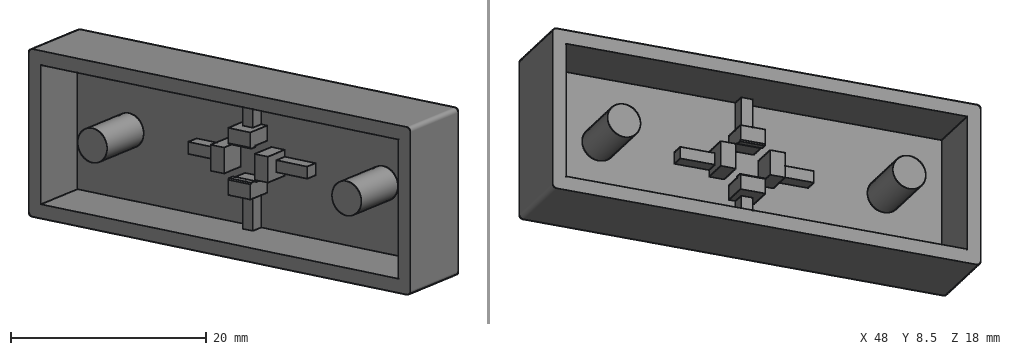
import cadquery as cq

length = 48.0
depth = 8.5
height = 18.0
corner_radius = 0.5
wall = 1.55
floor_thickness = 2.0
floor_y = depth - floor_thickness

pin_diameter = 3.7
pin_offset = 16.0

block_width = 2.8
block_outer = 3.6
side_block_inner = 1.9
block_front_y = 3.5
upright_inner = 1.95
lip_projection = 0.15
lip_depth = 1.0
rib_width = 1.3
rib_front_y = 5.0
side_rib_end = 7.5
upright_rib_end = height / 2 - wall


def box_between(x_range, y_range, z_range):
    """Axis-aligned box spanning the given ranges."""
    spans = (x_range, y_range, z_range)
    sizes = [high - low for low, high in spans]
    corner = tuple(low for low, high in spans)
    return cq.Workplane("XY").box(*sizes, centered=False).translate(corner)


def tray():
    """Rounded rectangular block with a sharp-cornered pocket."""
    outer = cq.Workplane("XY").box(length, depth, height, centered=(True, False, True))
    outer = outer.edges("|Y").fillet(corner_radius)
    pocket = cq.Workplane("XY").box(
        length - 2 * wall, floor_y, height - 2 * wall, centered=(True, False, True)
    )
    return outer.cut(pocket)


def pin(x):
    """Pin running the full depth, so that it joins the floor."""
    return cq.Workplane("XZ").center(x, 0).circle(pin_diameter / 2).extrude(-depth)


def side_arm():
    """Block and rib on the +X arm of the cross."""
    half_block = block_width / 2
    half_rib = rib_width / 2
    block = box_between(
        (side_block_inner, block_outer), (block_front_y, depth), (-half_block, half_block)
    )
    rib = box_between((side_block_inner, side_rib_end), (rib_front_y, depth), (-half_rib, half_rib))
    return block.union(rib)


def upright_arm():
    """Block with a bevelled lip on its inner face, and its rib, on the +Z arm of the cross."""
    half_rib = rib_width / 2
    lip_inner = upright_inner - lip_projection
    lip_back_y = block_front_y + lip_depth
    block = (
        cq.Workplane("YZ")
        .moveTo(block_front_y, upright_inner)
        .lineTo(block_front_y + lip_projection, lip_inner)
        .lineTo(lip_back_y - lip_projection, lip_inner)
        .lineTo(lip_back_y, upright_inner)
        .lineTo(depth, upright_inner)
        .lineTo(depth, block_outer)
        .lineTo(block_front_y, block_outer)
        .close()
        .extrude(block_width / 2, both=True)
    )
    rib = box_between((-half_rib, half_rib), (rib_front_y, depth), (block_outer, upright_rib_end))
    return block.union(rib)


result = tray()
for side in (-1, 1):
    result = result.union(pin(side * pin_offset))
for arm in (side_arm(), upright_arm()):
    result = result.union(arm)
    result = result.union(arm.rotate((0, 0, 0), (0, 1, 0), 180))